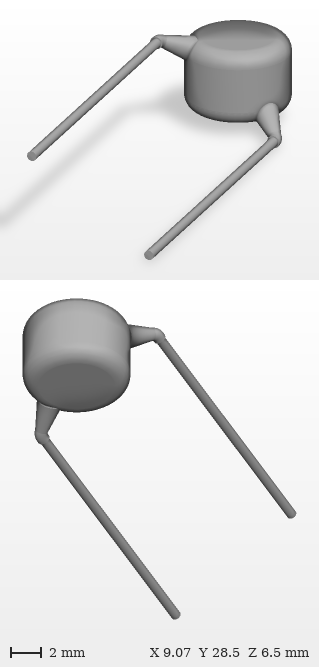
import cadquery as cq
import math

body_diameter = 7.0
body_height = 5.0
body_edge_radius = 1.0

lead_diameter = 0.65
lead_end_y = -25.0
lead_x = 4.11
lead_z = 2.825
lead_radius = lead_diameter / 2

sleeve_radius = 0.425
sleeve_face_y = -3.95
collar_length = 0.2
bend_angle = 45.0
bend_radius = 0.75
cone_length = 2.2
cone_base_radius = 0.86

lead_offset = math.hypot(lead_x, lead_z)
lead_tilt = math.degrees(math.atan2(lead_z, lead_x))


def make_sleeve():
    """Collar, elbow and flared cone, laid in the XY plane with the lead on the -X side."""
    bend_start_y = sleeve_face_y + collar_length
    bend = math.radians(bend_angle)
    cone_direction = cq.Vector(math.sin(bend), math.cos(bend), 0)
    bend_start = cq.Vector(-lead_offset, bend_start_y, 0)
    bend_centre = bend_start + cq.Vector(bend_radius, 0, 0)
    bend_end = bend_centre + cq.Vector(-math.cos(bend), math.sin(bend), 0) * bend_radius

    collar = cq.Solid.makeCylinder(
        sleeve_radius, collar_length, cq.Vector(-lead_offset, sleeve_face_y, 0), cq.Vector(0, 1, 0)
    )
    elbow = (
        cq.Workplane("XZ", origin=bend_start.toTuple())
        .circle(sleeve_radius)
        .revolve(bend_angle, (bend_radius, 1, 0), (bend_radius, 0, 0))
    )
    cone = cq.Solid.makeCone(sleeve_radius, cone_base_radius, cone_length, bend_end, cone_direction)
    return elbow.union(cq.Workplane(collar)).union(cq.Workplane(cone))


def make_housing():
    """Rounded disc with a sleeve reaching out to each lead."""
    housing = cq.Workplane("XY").cylinder(body_height, body_diameter / 2)
    housing = housing.faces("|Z").edges().fillet(body_edge_radius)
    for turn in (0, 180):
        sleeve = make_sleeve().rotate((0, 0, 0), (0, 1, 0), lead_tilt + turn)
        housing = housing.union(sleeve)
    return housing.solids()


def make_lead(side):
    """Straight wire from the sleeve face to the free end; side -1 is the upper lead."""
    return (
        cq.Workplane("XZ", origin=(side * lead_x, sleeve_face_y, -side * lead_z))
        .circle(lead_radius)
        .extrude(sleeve_face_y - lead_end_y)
    )


housing = make_housing()
leads = [make_lead(side) for side in (-1, 1)]

result = cq.Compound.makeCompound([housing.val(), *[lead.val() for lead in leads]])